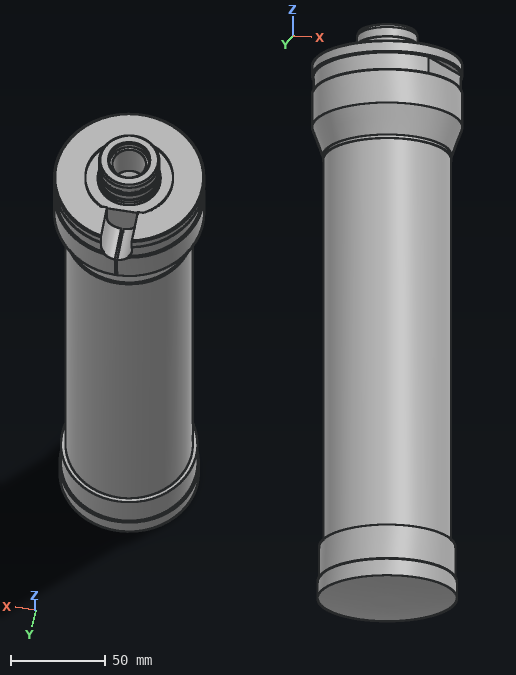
import cadquery as cq
import math

total_height = 320.0
housing_top = 302.5
flange_bottom = 295.7
neck_bottom = 286.5
head_bottom = 267.2
cone_bottom = 251.2
collar_bottom = 249.3
cap_top = 30.7
foot_top = 12.0
foot_bottom = 2.0
underside_flat_diameter = 18.0

head_diameter = 80.0
neck_diameter = 78.5
collar_diameter = 68.5
tube_diameter = 68.0
cap_diameter = 72.5
foot_diameter = 74.2
edge_chamfer = 0.5

flat_distance = 35.2
flat_angle = -45.0

slot_width = 16.5
slot_floor = 283.0
slit_width = 1.3
slit_bottom = head_bottom

plug_diameter = 46.7
plug_flat_y = 20.5
plug_top = housing_top - 1.0
plug_bottom = slit_bottom
nozzle_diameter = 32.3
tip_diameter = 30.7
tip_height = 2.0
groove_top = 313.0
groove_bottom = 310.5
groove_diameter = 31.0
root_top = 305.5
root_diameter = 31.7
flare_width = 1.0

mouth_diameter = 21.0
mouth_depth = 4.0
mouth_chamfer = 0.5
bore_diameter = 18.0
bore_depth = 25.5
drill_point_angle = 118.0


def disc(diameter, bottom, top):
    """Cylinder on the Z axis between two heights."""
    return cq.Workplane("XY").workplane(offset=bottom).circle(diameter / 2).extrude(top - bottom)


def make_d_shape(top):
    """D-shaped cylinder that fills the plug socket up to a given height."""
    keep = (
        cq.Workplane("XY")
        .workplane(offset=plug_bottom)
        .center(0, plug_flat_y - plug_diameter / 2)
        .rect(plug_diameter, plug_diameter)
        .extrude(top - plug_bottom)
    )
    return disc(plug_diameter, plug_bottom, top).intersect(keep)


def make_housing_blank():
    """Turned outline with a shallow domed underside."""
    head = head_diameter / 2
    neck = neck_diameter / 2
    collar = collar_diameter / 2
    tube = tube_diameter / 2
    cap = cap_diameter / 2
    foot = foot_diameter / 2
    flat = underside_flat_diameter / 2
    dome_width = foot - flat
    dome_radius = (dome_width**2 + foot_bottom**2) / (2 * foot_bottom)
    dome_mid_x = dome_width / 2
    dome_mid_z = dome_radius - math.sqrt(dome_radius**2 - dome_mid_x**2)
    return (
        cq.Workplane("XZ")
        .moveTo(0, 0)
        .lineTo(flat, 0)
        .threePointArc((flat + dome_mid_x, dome_mid_z), (foot, foot_bottom))
        .lineTo(foot, foot_top - edge_chamfer)
        .lineTo(foot - edge_chamfer, foot_top)
        .lineTo(cap, foot_top)
        .lineTo(cap, cap_top)
        .lineTo(tube, cap_top)
        .lineTo(tube, collar_bottom)
        .lineTo(collar, collar_bottom)
        .lineTo(collar, cone_bottom)
        .lineTo(head, head_bottom)
        .lineTo(head, neck_bottom - edge_chamfer)
        .lineTo(head - edge_chamfer, neck_bottom)
        .lineTo(neck, neck_bottom)
        .lineTo(neck, flange_bottom)
        .lineTo(head - edge_chamfer, flange_bottom)
        .lineTo(head, flange_bottom + edge_chamfer)
        .lineTo(head, housing_top - edge_chamfer)
        .lineTo(head - edge_chamfer, housing_top)
        .lineTo(0, housing_top)
        .close()
        .revolve(360, (0, 0), (0, 1))
    )


def make_neck_flat_cutter():
    """Block that removes the neck beyond its flat."""
    block_depth = head_diameter / 2
    return (
        cq.Workplane("XY")
        .box(block_depth, head_diameter, flange_bottom - neck_bottom, centered=(False, True, False))
        .translate((flat_distance, 0, neck_bottom))
        .rotate((0, 0, 0), (0, 0, 1), flat_angle)
    )


def make_slot_cutter():
    """Radial slot with a half-round floor, from the plug flat out past the rim."""
    half_width = slot_width / 2
    round_top = slot_floor + half_width
    return (
        cq.Workplane("XZ", origin=(0, plug_flat_y, 0))
        .moveTo(-half_width, housing_top)
        .lineTo(-half_width, round_top)
        .threePointArc((0, slot_floor), (half_width, round_top))
        .lineTo(half_width, housing_top)
        .close()
        .extrude(-head_diameter / 2)
    )


def make_slit_cutter():
    """Thin radial slit that continues the slot downwards."""
    length = head_diameter / 2
    return (
        cq.Workplane("XY")
        .box(slit_width, length, housing_top - slit_bottom, centered=(True, False, False))
        .translate((0, plug_flat_y, slit_bottom))
    )


def make_housing():
    """Tube with its head and foot, and a socket for the plug."""
    return (
        make_housing_blank()
        .cut(make_neck_flat_cutter())
        .cut(make_slot_cutter())
        .cut(make_slit_cutter())
        .cut(make_d_shape(housing_top))
    )


def make_bore_cutter():
    """Stepped blind bore, turned about the Z axis."""
    bore = bore_diameter / 2
    mouth = mouth_diameter / 2
    bore_end = total_height - bore_depth
    point_height = bore / math.tan(math.radians(drill_point_angle / 2))
    return (
        cq.Workplane("XZ")
        .moveTo(0, total_height)
        .lineTo(mouth + mouth_chamfer, total_height)
        .lineTo(mouth, total_height - mouth_chamfer)
        .lineTo(mouth, total_height - mouth_depth)
        .lineTo(bore, total_height - mouth_depth)
        .lineTo(bore, bore_end)
        .lineTo(0, bore_end - point_height)
        .close()
        .revolve(360, (0, 0), (0, 1))
    )


def make_nozzle():
    """Turned nozzle with a flared base, a ring groove and a tapered tip."""
    root = root_diameter / 2
    barrel = nozzle_diameter / 2
    groove = groove_diameter / 2
    return (
        cq.Workplane("XZ")
        .moveTo(0, plug_top)
        .lineTo(root + flare_width, plug_top)
        .lineTo(root, plug_top + flare_width)
        .lineTo(root, root_top)
        .lineTo(barrel, root_top)
        .lineTo(barrel, groove_bottom)
        .lineTo(groove, groove_bottom)
        .lineTo(groove, groove_top)
        .lineTo(barrel, groove_top)
        .lineTo(barrel, total_height - tip_height)
        .lineTo(tip_diameter / 2, total_height)
        .lineTo(0, total_height)
        .close()
        .revolve(360, (0, 0), (0, 1))
    )


def make_plug():
    """D-shaped plug, set slightly below the housing top, with a bored nozzle."""
    return make_d_shape(plug_top).union(make_nozzle()).cut(make_bore_cutter())


housing = make_housing()
plug = make_plug()

result = cq.Compound.makeCompound([housing.val(), plug.val()])